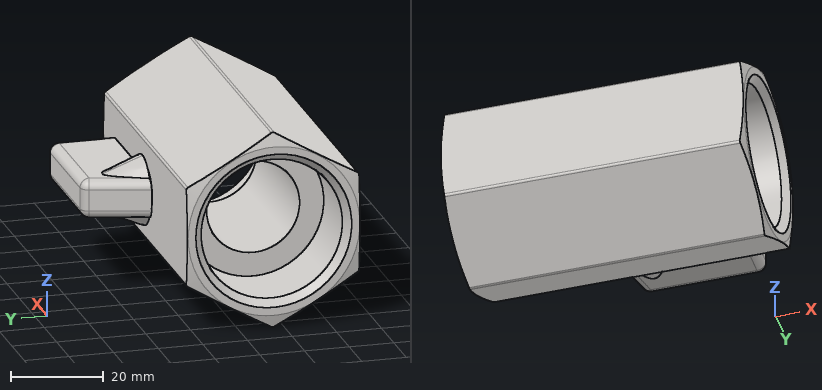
import cadquery as cq
import math

body_length = 68.05
side_count = 6
across_flats = 38.7
edge_radius = 0.7
end_circle_diameter = 38.45
end_bevel_angle = 15.0

passage_diameter = 20.8
socket_diameter = 31.65
socket_depth = 16.7
mouth_diameter = 34.9

overall_depth = 53.9
stem_diameter = 11.6
stem_height = 0.6
grip_right = 24.0
grip_left = -7.35
grip_lean = 15.0
grip_thickness = 8.9
grip_radius = 2.05
hub_width = 13.75
hub_breadth = 15.7
hub_taper = 20.5
hub_height = 11.6

flat_y = across_flats / 2
handle_top = overall_depth - flat_y
grip_base = flat_y + stem_height
grip_height = handle_top - grip_base
sharp_corner_radius = flat_y / math.cos(math.pi / side_count)
end_circle_radius = end_circle_diameter / 2
bevel_length = (sharp_corner_radius - end_circle_radius) * math.tan(math.radians(end_bevel_angle))


def turned(profile):
    """Solid of revolution about X from a profile of (x, radius) points."""
    return cq.Workplane("XY").polyline(profile).close().revolve(360, (0, 0, 0), (1, 0, 0))


def make_hexagon():
    """Hexagonal bar with rounded long edges and a conical bevel at each end."""
    end = body_length / 2
    bar = (
        cq.Workplane("YZ")
        .transformed(rotate=(0, 0, 90))
        .polygon(side_count, 2 * sharp_corner_radius)
        .extrude(end, both=True)
        .edges("|X")
        .fillet(edge_radius)
    )
    envelope = turned([
        (-end, 0),
        (-end, end_circle_radius),
        (-end + bevel_length, sharp_corner_radius),
        (end - bevel_length, sharp_corner_radius),
        (end, end_circle_radius),
        (end, 0),
    ])
    return bar.intersect(envelope)


def make_passage():
    """Through hole with a socket and a conical lead-in at each end."""
    end = body_length / 2
    floor = end - socket_depth
    mouth_radius = mouth_diameter / 2
    socket_radius = socket_diameter / 2
    lead_in = end - (mouth_radius - socket_radius)
    half_outline = [
        (floor, passage_diameter / 2),
        (floor, socket_radius),
        (lead_in, socket_radius),
        (end, mouth_radius),
        (end, 0),
    ]
    mirrored_outline = [(-x, radius) for x, radius in reversed(half_outline)]
    return turned(mirrored_outline + half_outline)


def make_grip():
    """Flat grip with one slanted side, rounded all over except at its foot."""
    slant_shift = grip_height * math.tan(math.radians(grip_lean))
    grip = (
        cq.Workplane("XY")
        .polyline([
            (grip_left, grip_base),
            (grip_right, grip_base),
            (grip_right, handle_top),
            (grip_left + slant_shift, handle_top),
        ])
        .close()
        .extrude(grip_thickness / 2, both=True)
    )
    return grip.edges("not <Y").fillet(grip_radius)


def make_hub():
    """Elliptical cone that thickens the grip around the stem axis."""
    half_width = hub_width / 2
    half_breadth = hub_breadth / 2
    tip_scale = 1 - hub_height * math.tan(math.radians(hub_taper)) / half_breadth
    return (
        cq.Workplane("XZ", origin=(0, grip_base, 0))
        .ellipse(half_width, half_breadth)
        .workplane(offset=-hub_height)
        .ellipse(half_width * tip_scale, half_breadth * tip_scale)
        .loft(ruled=True)
    )


def make_stem():
    """Short round stem that rests on the +Y flat of the body."""
    return cq.Workplane("XZ", origin=(0, flat_y, 0)).circle(stem_diameter / 2).extrude(-stem_height)


valve_body = make_hexagon().cut(make_passage())
handle = make_grip().union(make_hub()).union(make_stem())

result = cq.Compound.makeCompound([valve_body.val(), handle.val()])